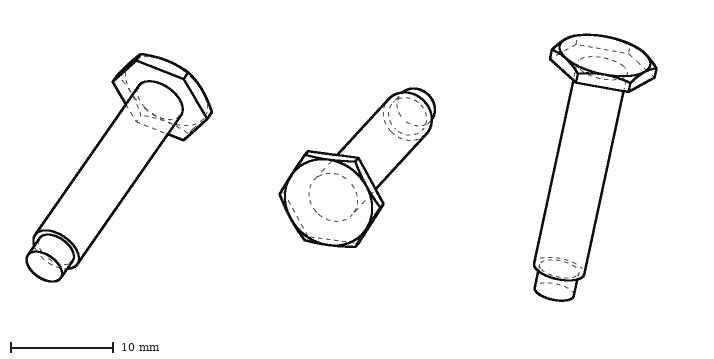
import cadquery as cq
import math

total_length = 25.7
across_flats = 9.0
head_thickness = 1.4
shank_diameter = 5.0
tip_diameter = 3.9
tip_length = 2.5
chamfer_angle = 30.0

half_side_angle = math.pi / 6
across_corners = across_flats / math.cos(half_side_angle)
head_outer_y = total_length / 2
head_inner_y = head_outer_y - head_thickness
tip_end_y = -total_length / 2
shank_end_y = tip_end_y + tip_length


def cylinder_along_y(diameter, start_y, end_y):
    """Round bar on the Y axis between two positions."""
    plane = cq.Plane(origin=(0, start_y, 0), xDir=(1, 0, 0), normal=(0, 1, 0))
    return cq.Workplane(plane).circle(diameter / 2).extrude(end_y - start_y)


def hex_head():
    """Hexagon with corners on X, its outer corners turned to a cone."""
    plane = cq.Plane(origin=(0, head_inner_y, 0), xDir=(1, 0, 0), normal=(0, 1, 0))
    hexagon = cq.Workplane(plane).polygon(6, across_corners).extrude(head_thickness)

    face_radius = across_flats / 2
    corner_radius = across_corners / 2
    corner_drop = (corner_radius - face_radius) * math.tan(math.radians(chamfer_angle))
    turned_blank = (
        cq.Workplane("XY")
        .moveTo(0, head_inner_y)
        .lineTo(corner_radius, head_inner_y)
        .lineTo(corner_radius, head_outer_y - corner_drop)
        .lineTo(face_radius, head_outer_y)
        .lineTo(0, head_outer_y)
        .close()
        .revolve(360, (0, 0, 0), (0, 1, 0))
    )
    return hexagon.intersect(turned_blank)


shank = cylinder_along_y(shank_diameter, shank_end_y, head_inner_y)
tip = cylinder_along_y(tip_diameter, tip_end_y, shank_end_y)
result = hex_head().union(shank).union(tip)